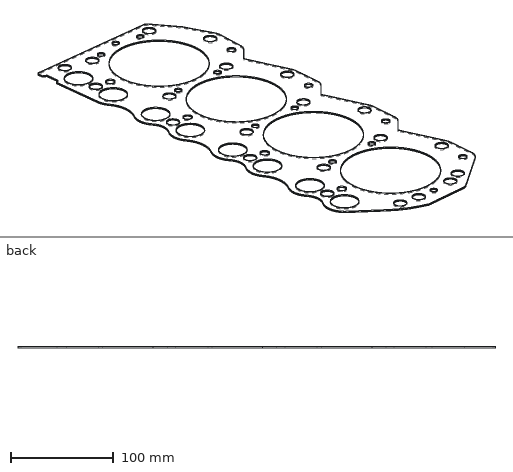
import cadquery as cq
import math

thickness = 1.5
cylinders = 4
length = 464
pitch = 106.3
tilt = -0.13
row_length = cylinders * pitch

bore = 97.5
port = 28
bolt = 13.0
drain = 9.5
oil = 8.5
water = 7.5

port_y = -78.0
port_spacing = 48.0
port_bolt_x = -9.0
port_xs = (port_bolt_x - port_spacing / 2, port_bolt_x + port_spacing / 2)
lobe_radius = 21.5
narrow_valley_drop = 13.5
wide_valley_drop = 12.5
bottom_y = port_y - lobe_radius

top_bolt = (-2.0, 72.0)
top_oil = (29.0, 70.0)
top_bolt_land = 11.0
first_bolt_land = 12.5
top_oil_land = 12.0
notch = (-54.8, 65)

left_x = -68.0
corner_radius = 2.5
shoulder_radius = 4.5
shoulder_y = 47.0
upper_left_bend = (-38.5, 70.0)
recess_left = -61.0
recess_right = -41.8
recess_height = 3.95
recess_run = 2.0

right_upper_corner = (385, 24.0)
right_upper_radius = 9.5
right_tip_y = -23.5
tilt_gain = (right_tip_y - bottom_y - corner_radius) * math.sin(math.radians(-tilt))
right_tip = (left_x + length - tilt_gain, right_tip_y)
right_arc_center = (303.5, 0)
right_arc_radius = 94.5

cylinder_holes = [
    (bore, 0, 0),
    (bolt, *top_bolt),
    (oil, *top_oil),
    (bolt, -55.5, 41.8),
    (water, -53.0, 27.0),
    (water, -53.0, -27.0),
    (bolt, -50.0, -41.8),
    (drain, -6.0, -61.0),
    (bolt, port_bolt_x, port_y),
]
cylinder_holes += [(port, x, port_y) for x in port_xs]

end_holes = [
    (water, -60.0, 0),
    (bolt, -58.0, -71.5),
    (bolt, row_length - 55.5, 41.8),
    (bolt, row_length - 49.0, 25.0),
    (water, row_length - 47.0, 0),
    (bolt, row_length - 47.5, -20.0),
    (bolt, row_length - 50.5, -42.0),
]


def valley(left_port_x, right_port_x, drop):
    """Hollow arc that touches the lobes around two ports."""
    half = (right_port_x - left_port_x) / 2
    radius = (half**2 + drop**2 - lobe_radius**2) / (2 * (lobe_radius - drop))
    return ((left_port_x + half, port_y - drop - radius), -radius)


def upper_edge():
    """Humps from left to right, with a notch between neighbours."""
    nodes = []
    for index in range(cylinders):
        x = index * pitch
        if index > 0:
            nodes.append(((x + notch[0], notch[1]), 0))
        bolt_land = top_bolt_land if index else first_bolt_land
        nodes.append(((x + top_bolt[0], top_bolt[1]), bolt_land))
        nodes.append(((x + top_oil[0], top_oil[1]), top_oil_land))
    return nodes


def lower_edge():
    """Lobes and valleys from right to left, ending in the straight edge at the second port."""
    centers = [index * pitch + x for index in range(cylinders) for x in port_xs]
    nodes = []
    for index in range(len(centers) - 1, 0, -1):
        nodes.append(((centers[index], port_y), lobe_radius))
        if index > 1:
            drop = narrow_valley_drop if index % 2 else wide_valley_drop
            nodes.append(valley(centers[index - 1], centers[index], drop))
    return nodes


def left_end():
    """Recessed foot and rounded corner at the lower left, then the shoulder above it."""
    recess_y = bottom_y + recess_height
    return [
        ((recess_right, bottom_y), 0),
        ((recess_right - recess_run, recess_y), 0),
        ((recess_left + recess_run, recess_y), 0),
        ((recess_left, bottom_y), 0),
        ((left_x + corner_radius, bottom_y + corner_radius), corner_radius),
        ((left_x + shoulder_radius, shoulder_y), shoulder_radius),
        (upper_left_bend, 0),
    ]


def right_end():
    return [
        (right_upper_corner, right_upper_radius),
        (right_tip, 0),
        (right_arc_center, right_arc_radius),
    ]


def wrap(nodes):
    """Clockwise outline of circles joined by tangent lines.

    A node is (center, radius): positive bulges outward, negative is hollow, 0 is a sharp point.
    """
    normals = []
    for index, ((x, y), radius) in enumerate(nodes):
        (next_x, next_y), next_radius = nodes[(index + 1) % len(nodes)]
        distance = math.hypot(next_x - x, next_y - y)
        sine = max(-1, min(1, (next_radius - radius) / distance))
        angle = math.atan2(next_y - y, next_x - x) + math.asin(sine) + math.pi / 2
        normals.append(cq.Vector(math.cos(angle), math.sin(angle)))

    shortest_line = 0.0005
    first_center, first_radius = nodes[0]
    start = cq.Vector(*first_center) + normals[-1] * first_radius
    outline = cq.Workplane("XY").moveTo(start.x, start.y)
    last = start
    for index, (center, radius) in enumerate(nodes):
        middle = cq.Vector(*center)
        arrive = middle + normals[index - 1] * radius
        if (arrive - last).Length > shortest_line:
            outline = outline.lineTo(arrive.x, arrive.y)
            last = arrive
        if radius:
            halfway = middle + (normals[index - 1] + normals[index]).normalized() * radius
            last = middle + normals[index] * radius
            outline = outline.threePointArc(halfway.toTuple()[:2], last.toTuple()[:2])
    return outline.close()


def hole(diameter, x, y):
    return cq.Workplane("XY").center(x, y).circle(diameter / 2).extrude(thickness)


sheet = wrap(upper_edge() + right_end() + lower_edge() + left_end()).extrude(thickness)

for cylinder in range(cylinders):
    for diameter, x, y in cylinder_holes:
        sheet = sheet.cut(hole(diameter, x + cylinder * pitch, y))

for diameter, x, y in end_holes:
    sheet = sheet.cut(hole(diameter, x, y))

result = sheet.rotate((0, 0, 0), (0, 0, 1), tilt)